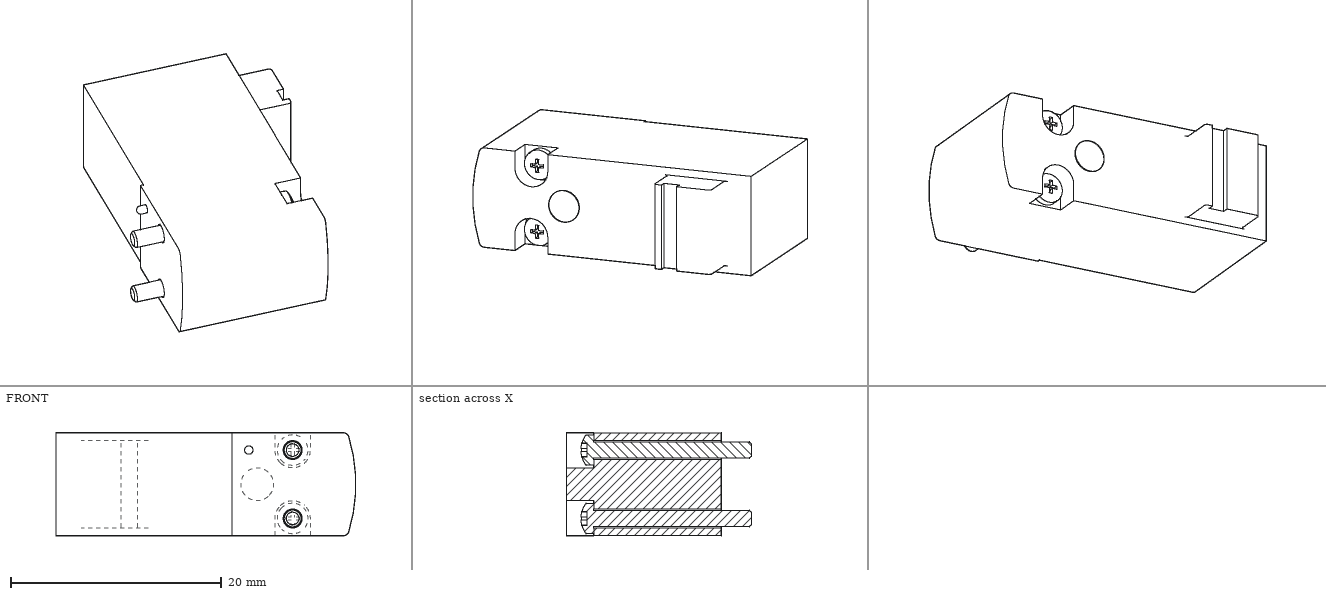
import cadquery as cq
import math

LENGTH = 28.5
DEPTH = 14.7
HEIGHT = 9.8
STEP_LENGTH = 16.73
STEP_DEPTH = 0.28
END_SAGITTA = 0.8
END_FILLET = 0.57

PLUG_START = 2.7
PLUG_WIDTH = 5.79
PLUG_DEPTH = 3.55
PLUG_HEIGHT = 8.32
PLUG_TOP_FILLET = 0.3
PLUG_BASE_FILLET = 0.28
NOTCH_START = 6.18
NOTCH_WIDTH = 1.57
NOTCH_DEPTH = 0.65

BOSS_X = 19.12
BOSS_DIAMETER = 3.1
BOSS_HEIGHT = 0.1

LOCATOR_X = 18.33
LOCATOR_DIAMETER = 0.8
LOCATOR_LENGTH = 0.95

SCREW_X = 22.5
SCREW_SPACING = 6.5
SHANK_DIAMETER = 1.6
SHANK_REACH = 2.88
TIP_CHAMFER = 0.2
HEAD_DIAMETER = 2.9
HEAD_RIM_HEIGHT = 0.83
HEAD_CHAMFER = 0.09
HEAD_DOME_HEIGHT = 0.4
RECESS_DIAMETER = 1.3
RECESS_WIDTH = 0.3
RECESS_DEPTH = 0.57
HOLE_DIAMETER = 1.8
SEAT_WIDTH = 3.35
SEAT_DEPTH = 2.6

SCREW_Z = SCREW_SPACING / 2
SEAT_Y = DEPTH - SEAT_DEPTH
HEAD_APEX_Y = SEAT_Y + HEAD_RIM_HEIGHT + HEAD_DOME_HEIGHT


def make_block():
    """Stepped block with a bowed, round-cornered end."""
    half = HEIGHT / 2
    block = (
        cq.Workplane("XZ")
        .moveTo(0, -half)
        .lineTo(LENGTH - END_SAGITTA, -half)
        .threePointArc((LENGTH, 0), (LENGTH - END_SAGITTA, half))
        .lineTo(0, half)
        .close()
        .extrude(-DEPTH)
    )
    block = block.edges("|Y and (>(1, 0, 1) or >(1, 0, -1))").fillet(END_FILLET)
    step = cq.Workplane("XY").box(STEP_LENGTH, STEP_DEPTH, HEIGHT, centered=(False, False, True))
    return block.cut(step)


def make_plug():
    """Connector with rounded outer edges, flared sides at its base and a notch across its end."""
    end = PLUG_START + PLUG_WIDTH
    back = DEPTH + PLUG_DEPTH
    flare = PLUG_BASE_FILLET
    flare_mid = flare * (1 - math.sqrt(0.5))
    top = PLUG_TOP_FILLET
    top_mid = top * (1 - math.sqrt(0.5))
    plug = (
        cq.Workplane("XY")
        .workplane(offset=-PLUG_HEIGHT / 2)
        .moveTo(PLUG_START - flare, DEPTH)
        .threePointArc((PLUG_START - flare_mid, DEPTH + flare_mid), (PLUG_START, DEPTH + flare))
        .lineTo(PLUG_START, back - top)
        .threePointArc((PLUG_START + top_mid, back - top_mid), (PLUG_START + top, back))
        .lineTo(end - top, back)
        .threePointArc((end - top_mid, back - top_mid), (end, back - top))
        .lineTo(end, DEPTH + flare)
        .threePointArc((end + flare_mid, DEPTH + flare_mid), (end + flare, DEPTH))
        .close()
        .extrude(PLUG_HEIGHT)
    )
    notch = (
        cq.Workplane("XY")
        .box(NOTCH_WIDTH, NOTCH_DEPTH, PLUG_HEIGHT, centered=(False, False, True))
        .translate((NOTCH_START, back - NOTCH_DEPTH, 0))
    )
    return plug.cut(notch)


def cylinder_along_y(diameter, x, z, start, end):
    return cq.Workplane("XZ", origin=(x, start, z)).circle(diameter / 2).extrude(start - end)


def make_locator():
    """Short pin that ends in a half sphere."""
    radius = LOCATOR_DIAMETER / 2
    ball_y = radius - LOCATOR_LENGTH
    pin = cylinder_along_y(LOCATOR_DIAMETER, LOCATOR_X, SCREW_Z, 0, ball_y)
    return pin.union(cq.Workplane("XY").sphere(radius).translate((LOCATOR_X, ball_y, SCREW_Z)))


def make_screw_cut(side):
    """Clearance hole and U-shaped head seat, open to the back and to the top (1) or bottom (-1)."""
    z = side * SCREW_Z
    hole = cylinder_along_y(HOLE_DIAMETER, SCREW_X, z, 0, DEPTH)
    round_seat = cylinder_along_y(SEAT_WIDTH, SCREW_X, z, SEAT_Y, DEPTH)
    opening_height = HEIGHT / 2 - SCREW_Z
    opening = (
        cq.Workplane("XY")
        .box(SEAT_WIDTH, SEAT_DEPTH, opening_height)
        .translate((SCREW_X, SEAT_Y + SEAT_DEPTH / 2, side * (SCREW_Z + opening_height / 2)))
    )
    return hole.union(round_seat).union(opening)


def make_housing():
    housing = make_block().union(make_plug()).union(make_locator())
    housing = housing.union(cylinder_along_y(BOSS_DIAMETER, BOSS_X, 0, DEPTH, DEPTH + BOSS_HEIGHT))
    for side in (1, -1):
        housing = housing.cut(make_screw_cut(side))
    return housing


def make_cross_recess(z):
    """Crossed driver recess with rounded outer ends, sunk from the top of the screw head."""
    center = (SCREW_X, HEAD_APEX_Y - RECESS_DEPTH / 2, z)
    cross = cq.Workplane("XY").box(RECESS_DIAMETER, RECESS_DEPTH, RECESS_WIDTH)
    cross = cross.union(cq.Workplane("XY").box(RECESS_WIDTH, RECESS_DEPTH, RECESS_DIAMETER))
    limit = cylinder_along_y(RECESS_DIAMETER, SCREW_X, z, HEAD_APEX_Y - RECESS_DEPTH, HEAD_APEX_Y)
    return cross.translate(center).intersect(limit)


def make_screw(z):
    """Domed screw whose head rests on the seat and whose chamfered tip stands out of the front face."""
    shank_radius = SHANK_DIAMETER / 2
    head_radius = HEAD_DIAMETER / 2
    rim = SEAT_Y + HEAD_RIM_HEIGHT
    dome_base = head_radius - HEAD_CHAMFER
    dome_radius = (dome_base**2 + HEAD_DOME_HEIGHT**2) / (2 * HEAD_DOME_HEIGHT)
    dome_mid_x = dome_base / 2
    dome_mid_y = HEAD_APEX_Y - dome_radius + math.sqrt(dome_radius**2 - dome_mid_x**2)
    profile = (
        cq.Workplane("XY")
        .moveTo(0, -SHANK_REACH)
        .lineTo(shank_radius - TIP_CHAMFER, -SHANK_REACH)
        .lineTo(shank_radius, TIP_CHAMFER - SHANK_REACH)
        .lineTo(shank_radius, SEAT_Y)
        .lineTo(head_radius, SEAT_Y)
        .lineTo(head_radius, rim - HEAD_CHAMFER)
        .lineTo(dome_base, rim)
        .threePointArc((dome_mid_x, dome_mid_y), (0, HEAD_APEX_Y))
        .close()
    )
    screw = profile.revolve(360, (0, 0, 0), (0, 1, 0)).translate((SCREW_X, 0, z))
    return screw.cut(make_cross_recess(z))


housing = make_housing()
screws = [make_screw(side * SCREW_Z) for side in (1, -1)]

result = cq.Compound.makeCompound([housing.val(), *[screw.val() for screw in screws]])